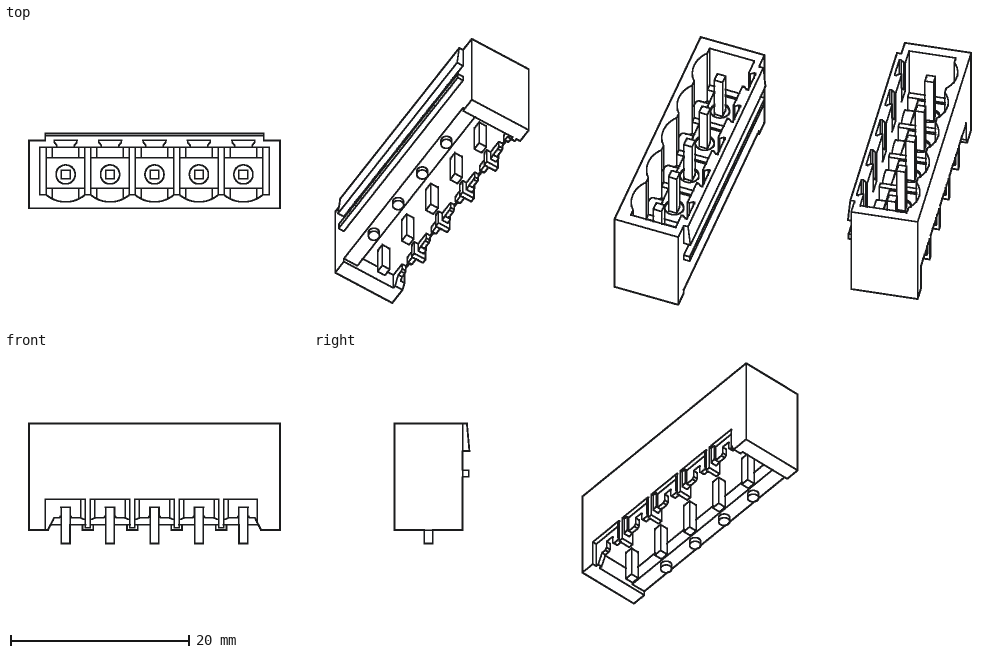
import cadquery as cq


pole_count = 5
pitch = 5.0
pole_width = 4.31
pole_positions = [(i - (pole_count - 1) / 2) * pitch for i in range(pole_count)]
divider_positions = [(i - pole_count / 2) * pitch for i in range(1, pole_count)]

length = 28.2
depth = 7.65
height = 11.98
front_y = -depth / 2
rear_y = depth / 2
end_wall = 1.2
rear_wall = 0.75
front_wall = 1.52
scallop_depth = 0.8

floor_z = 3.5
ridge_radius = 1.5
step_height = 0.25
block_z = floor_z + ridge_radius + step_height
wall_top_z = block_z + step_height
block_depth = 3.4
block_shift = 0.17
recess_diameter = 2.15
recess_depth = 0.25

inset = 1.8
open_length = length - 2 * inset
lip_height = 3.13
lip_top_depth = 0.5
lip_bottom_depth = 0.8
ledge_z = 5.98
ledge_height = 0.75
ledge_depth = 0.7

groove_height = 4.25
groove_root_width = 2.55
groove_mouth_width = 1.95
groove_land = 0.2

notch_z = 3.47
notch_right_x = 11.53
plate_setback = 0.5
plate_thickness = 0.5
plate_back = plate_setback + plate_thickness
plate_z = 1.35
plate_slope_run = 0.68
plate_slope_inset = 0.35
hollow_z = 2.55
slot_width = 1.02
slot_flare_z = 1.6
slot_flare_width = 1.47
foot_depth = 1.8
foot_z = 0.6
rib_width = 0.55
rib_z = 0.25
strip_width = 1.6
strip_setback = 0.25
strip_sag = 0.2
peg_diameter = 1.25

pin_side = 1.0
pin_top_z = 11.0
pin_bottom_z = -1.52


def block(x_range, y_range, z_range):
    """Axis-aligned box between pairs of limits."""
    (x0, x1), (y0, y1), (z0, z1) = x_range, y_range, z_range
    return cq.Workplane("XY").box(x1 - x0, y1 - y0, z1 - z0, centered=False).translate((x0, y0, z0))


def centred(middle, width):
    """Limits of a span of the given width about a middle."""
    return (middle - width / 2, middle + width / 2)


def extrude_back(profile, start, end):
    """Extrude an XZ profile rearward between two distances from the front face."""
    return profile.extrude(-(end - start)).translate((0, front_y + start, 0))


def shell():
    """Plain outer block with the upper cavity that all the poles share."""
    body = block(centred(0, length), (front_y, rear_y), (0, height))
    cavity = block(
        centred(0, length - 2 * end_wall),
        (front_y + front_wall, rear_y - rear_wall),
        (wall_top_z, height),
    )
    return body.cut(cavity)


def pole_pocket(x):
    """Space of one pole, with the front bulging into the front wall as an arc."""
    left, right = centred(x, pole_width)
    chord_y = front_y + front_wall
    return (
        cq.Workplane("XY", origin=(0, 0, floor_z))
        .moveTo(left, rear_y - rear_wall)
        .lineTo(left, chord_y)
        .threePointArc((x, chord_y - scallop_depth), (right, chord_y))
        .lineTo(right, rear_y - rear_wall)
        .close()
        .extrude(height - floor_z)
    )


def pole_floor(x):
    """Half-round ridge along Y, crossed by a block with a round recess for the pin."""
    ridge = (
        cq.Workplane("XZ")
        .moveTo(x - ridge_radius, floor_z)
        .threePointArc((x, floor_z + ridge_radius), (x + ridge_radius, floor_z))
        .close()
    )
    ridge = extrude_back(ridge, 0, depth).intersect(pole_pocket(x))
    cross_block = block(centred(x, pole_width), centred(block_shift, block_depth), (floor_z, block_z))
    recess = (
        cq.Workplane("XY", origin=(x, 0, block_z - recess_depth))
        .circle(recess_diameter / 2)
        .extrude(recess_depth)
    )
    return ridge.union(cross_block).cut(recess)


def groove(x):
    """Dovetail groove, wider toward the rear, open at the top."""
    mouth_y = rear_y - rear_wall
    root = groove_root_width / 2
    mouth = groove_mouth_width / 2
    half = [
        (mouth, mouth_y),
        (mouth, mouth_y + groove_land),
        (root, rear_y - groove_land),
        (root, rear_y),
    ]
    outline = half + [(-px, py) for px, py in reversed(half)]
    return (
        cq.Workplane("XY", origin=(x, 0, height - groove_height))
        .polyline(outline)
        .close()
        .extrude(groove_height)
    )


def lip():
    """Wedge-shaped latching lip along the top of the rear face."""
    return (
        cq.Workplane("YZ", origin=(-open_length / 2, 0, 0))
        .moveTo(rear_y, height)
        .lineTo(rear_y + lip_top_depth, height)
        .lineTo(rear_y + lip_bottom_depth, height - lip_height)
        .lineTo(rear_y, height - lip_height)
        .close()
        .extrude(open_length)
    )


def ledge():
    """Straight ledge on the rear face below the lip."""
    return block(
        centred(0, open_length),
        (rear_y, rear_y + ledge_depth),
        (ledge_z, ledge_z + ledge_height),
    )


def underside_opening():
    """Front notch, hollow behind the front plate and clearance below the rear foot."""
    span = centred(0, open_length)
    foot_y = rear_y - foot_depth
    notch = block((span[0], notch_right_x), (front_y, front_y + plate_setback), (0, notch_z))
    hollow = block(span, (front_y + plate_back, foot_y), (0, hollow_z))
    clearance = block(span, (foot_y, rear_y), (0, foot_z))
    return notch.union(hollow).union(clearance)


def plate_opening():
    """Space below front wall and plate, with sloped ends, and one flared slot per pole in the plate."""
    half_bottom = open_length / 2 - plate_slope_inset
    half_top = half_bottom - plate_slope_run
    below = (
        cq.Workplane("XZ")
        .polyline([(-half_bottom, 0), (half_bottom, 0), (half_top, plate_z), (-half_top, plate_z)])
        .close()
    )
    opening = extrude_back(below, 0, plate_back)
    for x in pole_positions:
        slot_left, slot_right = centred(x, slot_width)
        flare_left, flare_right = centred(x, slot_flare_width)
        slot = (
            cq.Workplane("XZ")
            .polyline([
                (flare_left, plate_z),
                (slot_left, slot_flare_z),
                (slot_left, hollow_z),
                (slot_right, hollow_z),
                (slot_right, slot_flare_z),
                (flare_right, plate_z),
            ])
            .close()
        )
        opening = opening.union(extrude_back(slot, plate_setback, plate_back))
    return opening


def divider(x):
    """Rib between two poles with a thicker strip behind it, rounded at its lower end."""
    rib = block(centred(x, rib_width), (front_y, front_y + front_wall), (rib_z, notch_z))
    left, right = centred(x, strip_width)
    strip = (
        cq.Workplane("XZ")
        .moveTo(left, notch_z)
        .lineTo(left, plate_z)
        .threePointArc((x, plate_z - strip_sag), (right, plate_z))
        .lineTo(right, notch_z)
        .close()
    )
    return rib.union(extrude_back(strip, strip_setback, plate_back))


def peg(x):
    """Round stand-off below the rear foot."""
    return (
        cq.Workplane("XY", origin=(x, rear_y - foot_depth / 2, 0))
        .circle(peg_diameter / 2)
        .extrude(foot_z)
    )


def make_pin(x):
    """Square contact pin of one pole."""
    return block(centred(x, pin_side), centred(0, pin_side), (pin_bottom_z, pin_top_z))


def make_housing(fitted_pins):
    """Housing with a matching hole for every pin."""
    body = shell().cut(underside_opening()).cut(plate_opening())
    for x in pole_positions:
        body = body.cut(pole_pocket(x)).union(pole_floor(x)).cut(groove(x))
    body = body.union(lip()).union(ledge())
    for x in divider_positions:
        body = body.union(divider(x)).union(peg(x))
    for pin in fitted_pins:
        body = body.cut(pin)
    return body


pins = [make_pin(x) for x in pole_positions]
housing = make_housing(pins)

result = cq.Compound.makeCompound([housing.val(), *[pin.val() for pin in pins]])